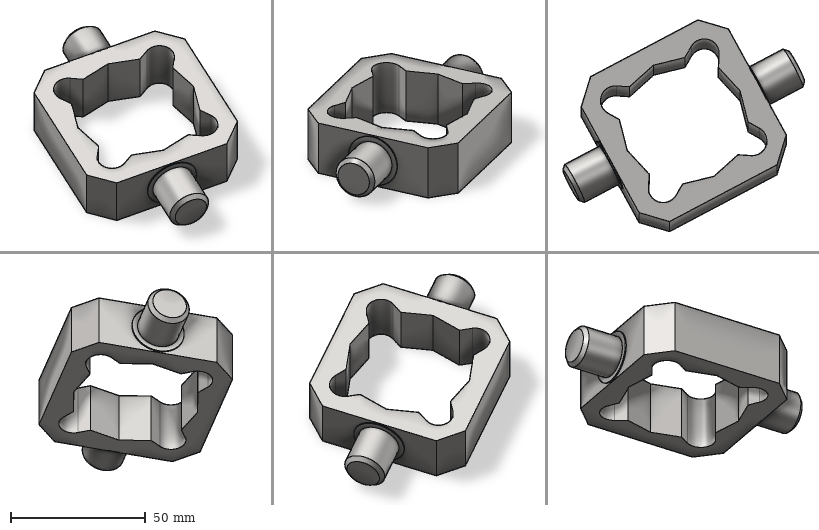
import cadquery as cq
import math

total_length = 95.0
frame_width = 62.0
frame_height = 21.0
frame_corner_chamfer = 8.4

pin_diameter = 16.0
pin_chamfer = 1.5
collar_diameter = 20.0
collar_thickness = 0.5

side_apex = 23.75
tooth_depth = 20.8
tooth_offset = 11.7
lobe_center = 18.7
lobe_radius = 5.5


def make_frame():
    return (
        cq.Workplane("XY")
        .box(frame_width, frame_width, frame_height)
        .edges("|Z")
        .chamfer(frame_corner_chamfer)
    )


def lobe_tangent_point():
    """Point where a line from the innermost point touches the lobe on its +X side."""
    dx = tooth_depth - lobe_center
    dy = tooth_offset - lobe_center
    toward_tooth = math.atan2(dy, dx)
    angle = toward_tooth + math.acos(lobe_radius / math.hypot(dx, dy))
    return (
        lobe_center + lobe_radius * math.cos(angle),
        lobe_center + lobe_radius * math.sin(angle),
    )


def make_window():
    """Window cutter, drawn as one quarter outline repeated at 90 degree steps."""
    tangent_x, tangent_y = lobe_tangent_point()
    lobe_tip = lobe_center + lobe_radius * math.sqrt(0.5)

    def turn(x, y, quarter):
        angle = quarter * math.pi / 2
        return (
            x * math.cos(angle) - y * math.sin(angle),
            x * math.sin(angle) + y * math.cos(angle),
        )

    outline = cq.Workplane("XY").moveTo(side_apex, 0)
    for quarter in range(4):
        outline = (
            outline.lineTo(*turn(tooth_depth, tooth_offset, quarter))
            .lineTo(*turn(tangent_x, tangent_y, quarter))
            .threePointArc(
                turn(lobe_tip, lobe_tip, quarter),
                turn(tangent_y, tangent_x, quarter),
            )
            .lineTo(*turn(tooth_offset, tooth_depth, quarter))
        )
        if quarter < 3:
            outline = outline.lineTo(*turn(0, side_apex, quarter))
    return outline.close().extrude(frame_height / 2, both=True)


def make_trunnion():
    """Collar and chamfered pin standing on the +X face."""
    face = cq.Workplane("YZ", origin=(frame_width / 2, 0, 0))
    collar = face.circle(collar_diameter / 2).extrude(collar_thickness)
    pin = (
        face.circle(pin_diameter / 2)
        .extrude((total_length - frame_width) / 2)
        .faces(">X")
        .chamfer(pin_chamfer)
    )
    return collar.union(pin)


trunnion = make_trunnion()
result = make_frame().cut(make_window()).union(trunnion).union(trunnion.mirror("YZ"))